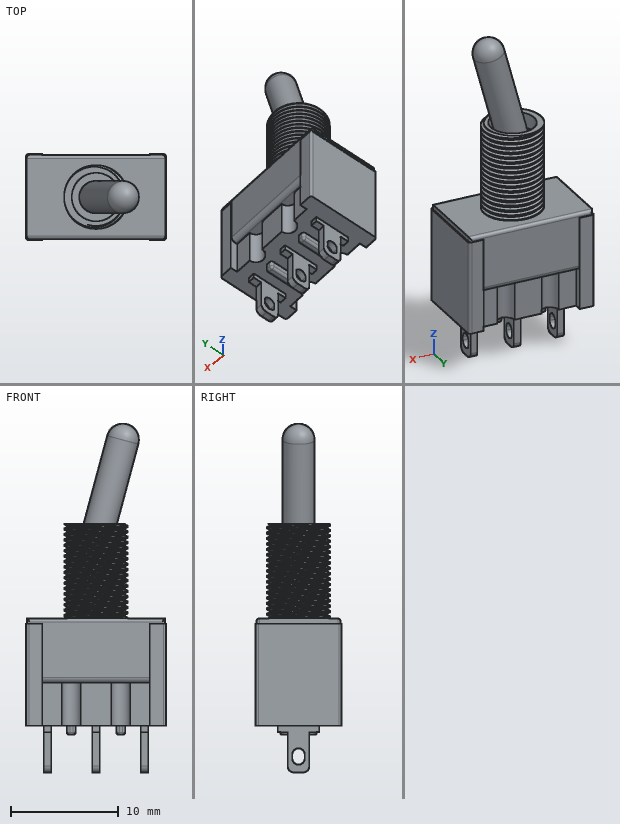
import cadquery as cq
import math

OVERLAP = 0.15

case_length = 13.0
case_width = 8.0
case_height = 9.97
bracket_height = 9.5
bracket_flange = 1.52
bracket_corner = 0.25
cover_length = 12.82
cover_width = 7.83
cover_bottom = 3.98
cover_corner = 0.25
cover_top_round = 0.32
cover_bottom_round = 0.52
base_width = 6.47
flute_diameter = 1.78
flute_offset = 2.3

tongue_thickness = 0.85
tongue_length = 3.43
tongue_drop = 0.85
tongue_corner = 0.3
tongue_end_round = 0.25

terminal_pitch = 4.5
terminal_thickness = 0.7
terminal_width = 2.05
terminal_drop = 4.35
terminal_end_round = 0.6
shoulder_width = 3.85
shoulder_drop = 0.58
eyelet_width = 1.13
eyelet_length = 1.5
eyelet_depth = 2.85

bushing_height = 8.77
thread_diameter = 5.92
thread_root_diameter = 5.35
thread_turns = 17.5
ridge_root_width = 0.42
ridge_crest_width = 0.1
ridge_sink = 0.03
bore_diameter = 4.5
bore_depth = 1.5

lever_diameter = 3.0
lever_tilt = 15.0
total_height = 32.37

bushing_top = case_height + bushing_height
bore_floor = bushing_top - bore_depth
thread_pitch = bushing_height / thread_turns


def box_between(length, width, bottom, top):
    """Box centred on the Z axis between two heights."""
    return cq.Workplane("XY").workplane(offset=bottom).rect(length, width).extrude(top - bottom)


def cylinder_between(diameter, bottom, top):
    """Cylinder on the Z axis between two heights."""
    return cq.Workplane("XY").workplane(offset=bottom).circle(diameter / 2).extrude(top - bottom)


def make_case():
    core = box_between(case_length - 2 * bracket_flange + OVERLAP, base_width, 0, case_height - OVERLAP)
    for side in (-1, 1):
        flutes = (
            cq.Workplane("XY")
            .pushPoints([(-flute_offset, side * base_width / 2), (flute_offset, side * base_width / 2)])
            .circle(flute_diameter / 2)
            .extrude(cover_bottom)
        )
        core = core.cut(flutes)

    cover = box_between(cover_length, cover_width, cover_bottom, case_height)
    cover = cover.faces(">Z").edges("|X").fillet(cover_top_round)
    cover = cover.faces("<Z").edges("|X").fillet(cover_bottom_round)
    corners = box_between(cover_length, cover_width, cover_bottom, case_height)
    corners = corners.edges("|Z").fillet(cover_corner)
    cover = cover.intersect(corners)

    brackets = box_between(case_length, case_width, 0, bracket_height).edges("|Z").fillet(bracket_corner)
    window = box_between(case_length - 2 * bracket_flange, case_width, 0, bracket_height)
    return core.union(cover).union(brackets.cut(window))


def make_tongue(x):
    tongue = box_between(tongue_thickness, tongue_length, -tongue_drop, OVERLAP)
    tongue = tongue.edges("|Z").fillet(tongue_corner)
    tongue = tongue.faces("<Z").edges().fillet(tongue_end_round)
    return tongue.translate((x, 0, 0))


def make_terminal(x):
    blade = box_between(terminal_thickness, terminal_width, -terminal_drop, OVERLAP)
    blade = blade.faces("<Z").edges("|X").fillet(terminal_end_round)
    shoulder = box_between(terminal_thickness, shoulder_width, -shoulder_drop, OVERLAP)
    eyelet = (
        cq.Workplane("YZ")
        .center(0, -eyelet_depth)
        .slot2D(eyelet_length, eyelet_width, 90)
        .extrude(terminal_thickness / 2, both=True)
    )
    return blade.union(shoulder).cut(eyelet).translate((x, 0, 0))


def make_thread_ridge(start, rise):
    """Helical ridge of trapezoid section, its root sunk slightly into the bushing core."""
    sunk_radius = thread_root_diameter / 2 - ridge_sink
    crest_radius = thread_diameter / 2
    path = cq.Wire.makeHelix(thread_pitch, rise, crest_radius, center=cq.Vector(0, 0, start))
    return (
        cq.Workplane("XZ")
        .polyline([
            (sunk_radius, start - ridge_root_width / 2),
            (crest_radius, start - ridge_crest_width / 2),
            (crest_radius, start + ridge_crest_width / 2),
            (sunk_radius, start + ridge_root_width / 2),
        ])
        .close()
        .sweep(cq.Workplane(path), isFrenet=True)
    )


def make_bushing():
    """Threaded tube, made too long at both ends and then trimmed to length."""
    thread_start = case_height - thread_pitch
    thread_rise = bushing_height + 2 * thread_pitch
    core_bottom = thread_start - 2 * thread_pitch
    core_top = thread_start + thread_rise + 2 * thread_pitch
    threaded = cylinder_between(thread_root_diameter, core_bottom, core_top)
    threaded = threaded.union(make_thread_ridge(thread_start, thread_rise))
    threaded = threaded.intersect(cylinder_between(2 * thread_diameter, case_height - OVERLAP, bushing_top))
    return threaded.cut(cylinder_between(bore_diameter, bore_floor, bushing_top))


def make_lever():
    """Round-ended rod built upright on its pivot, then tilted."""
    radius = lever_diameter / 2
    foot = -radius
    rise = total_height - terminal_drop - radius - bore_floor
    shank = rise / math.cos(math.radians(lever_tilt))
    lever = (
        cq.Workplane("XZ")
        .moveTo(0, foot)
        .lineTo(radius, foot)
        .lineTo(radius, shank)
        .radiusArc((0, shank + radius), -radius)
        .close()
        .revolve(360, (0, 0, 0), (0, 1, 0))
    )
    return lever.rotate((0, 0, 0), (0, 1, 0), lever_tilt).translate((0, 0, bore_floor))


result = make_case()
for tongue_x in (-flute_offset, flute_offset):
    result = result.union(make_tongue(tongue_x))
for terminal_x in (-terminal_pitch, 0, terminal_pitch):
    result = result.union(make_terminal(terminal_x))
result = result.union(make_bushing()).union(make_lever())